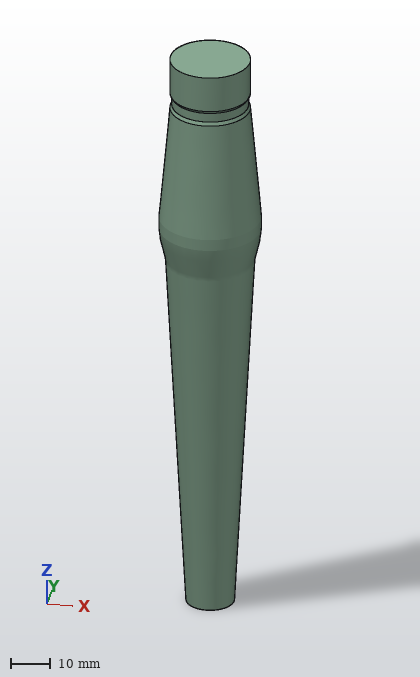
import cadquery as cq

length = 155.0
cap_bottom_z = 145.4
neck_top_z = 144.6
neck_bottom_z = 142.1
shoulder_z = 141.2
belly_top_z = 109.9
belly_bottom_z = 106.8
shaft_top_z = 97.2

cap_radius = 10.2
neck_radius = 9.8
shoulder_radius = 10.2
belly_radius = 13.0
shaft_top_radius = 11.3
tip_radius = 6.2

belly_direction = (0, -1)
shaft_direction = (shaft_top_radius - tip_radius, -shaft_top_z)

profile = (
    cq.Workplane("XZ")
    .moveTo(0, length)
    .lineTo(-cap_radius, length)
    .lineTo(-cap_radius, cap_bottom_z)
    .lineTo(-neck_radius, neck_top_z)
    .lineTo(-neck_radius, neck_bottom_z)
    .lineTo(-shoulder_radius, shoulder_z)
    .lineTo(-belly_radius, belly_top_z)
    .lineTo(-belly_radius, belly_bottom_z)
    .spline(
        [(-shaft_top_radius, shaft_top_z)],
        tangents=[belly_direction, shaft_direction],
        includeCurrent=True,
    )
    .lineTo(-tip_radius, 0)
    .lineTo(0, 0)
    .close()
)

result = profile.revolve(360, (0, 0, 0), (0, 1, 0))